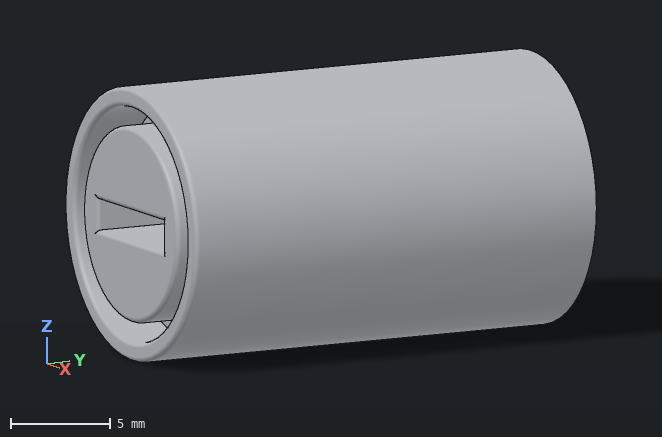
import cadquery as cq

length = 23.0
outer_diameter = 14.0
edge_radius = 0.25

groove_outer_diameter = 12.0
core_diameter = 10.0
groove_depth = 3.0

slot_width = 7.0
slot_height = 1.59
slot_center_z = -0.05


def rod(diameter, depth):
    """Cylinder starting at the front face (Y = 0) and running along +Y."""
    return cq.Workplane("XZ").circle(diameter / 2).extrude(-depth)


body = rod(outer_diameter, length)

bore = rod(groove_outer_diameter, groove_depth)
core = rod(core_diameter, groove_depth)
body = body.cut(bore.cut(core))

slot = cq.Workplane("XZ").center(0, slot_center_z).rect(slot_width, slot_height).extrude(-length)
body = body.cut(slot)

result = body.faces("<Y").edges().fillet(edge_radius)